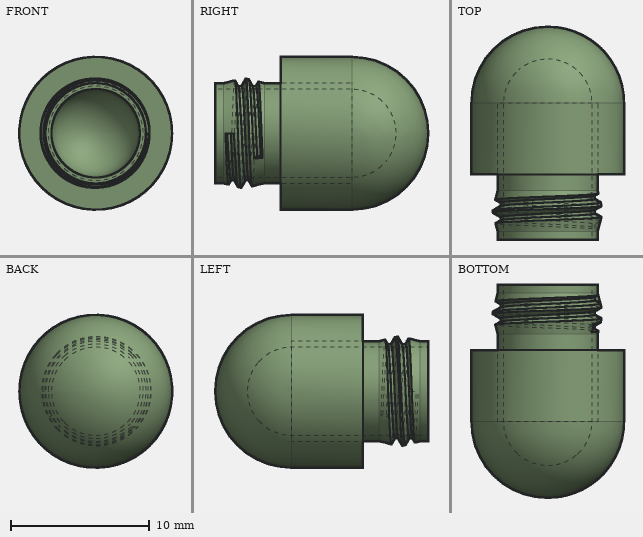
import cadquery as cq
import math

overall_length = 15.42
cap_radius = 11.07 / 2
bore_radius = 3.2

neck_radius = 3.625
exposed_neck_length = 4.73
mouth_collar_length = 0.61
thread_zone_length = 2.96
thread_crest_radius = 4.0
thread_zone_start = mouth_collar_length
thread_zone_middle = thread_zone_start + thread_zone_length / 2
thread_zone_end = thread_zone_start + thread_zone_length

pitch = 1.04
groove_turns = 2.08
groove_depth = 0.58
groove_floor_width = 0.25
groove_flank_angle = 30
cutter_overrun = 0.03

dome_centre = overall_length - cap_radius


def make_cap():
    """Round-nosed cap with a socket for the neck tube and a hemisphere that closes the tube bore."""
    inner_tip = dome_centre + bore_radius
    arc_share = math.sqrt(0.5)
    outer_arc_offset = cap_radius * arc_share
    inner_arc_offset = bore_radius * arc_share
    return (
        cq.Workplane("XY")
        .moveTo(neck_radius, exposed_neck_length)
        .lineTo(cap_radius, exposed_neck_length)
        .lineTo(cap_radius, dome_centre)
        .threePointArc((outer_arc_offset, dome_centre + outer_arc_offset), (0, overall_length))
        .lineTo(0, inner_tip)
        .threePointArc((inner_arc_offset, dome_centre + inner_arc_offset), (bore_radius, dome_centre))
        .lineTo(neck_radius, dome_centre)
        .close()
        .revolve(360, (0, 0, 0), (0, 1, 0))
    )


def make_neck_blank():
    """Tube whose outside swells as two cones that meet at the middle of the thread."""
    return (
        cq.Workplane("XY")
        .moveTo(bore_radius, 0)
        .lineTo(neck_radius, 0)
        .lineTo(neck_radius, thread_zone_start)
        .lineTo(thread_crest_radius, thread_zone_middle)
        .lineTo(neck_radius, thread_zone_end)
        .lineTo(neck_radius, dome_centre)
        .lineTo(bore_radius, dome_centre)
        .close()
        .revolve(360, (0, 0, 0), (0, 1, 0))
    )


def make_groove_cutter():
    """Right-hand helical groove, wound about Z and then laid along Y."""
    floor_radius = thread_crest_radius - groove_depth
    outer_radius = thread_crest_radius + cutter_overrun
    floor_half = groove_floor_width / 2
    outer_half = floor_half + (outer_radius - floor_radius) * math.tan(math.radians(groove_flank_angle))
    groove_rise = pitch * groove_turns
    helix = cq.Wire.makeHelix(pitch, groove_rise, floor_radius)
    groove = (
        cq.Workplane("XZ")
        .moveTo(floor_radius, -floor_half)
        .lineTo(outer_radius, -outer_half)
        .lineTo(outer_radius, outer_half)
        .lineTo(floor_radius, floor_half)
        .close()
        .sweep(cq.Workplane(obj=helix), isFrenet=True)
    )
    groove_along_y = groove.rotate((0, 0, 0), (1, 0, 0), -90)
    return groove_along_y.translate((0, thread_zone_middle - groove_rise / 2, 0))


cap = make_cap()
neck = make_neck_blank().cut(make_groove_cutter())

result = cq.Compound.makeCompound([cap.val(), *neck.solids().vals()])